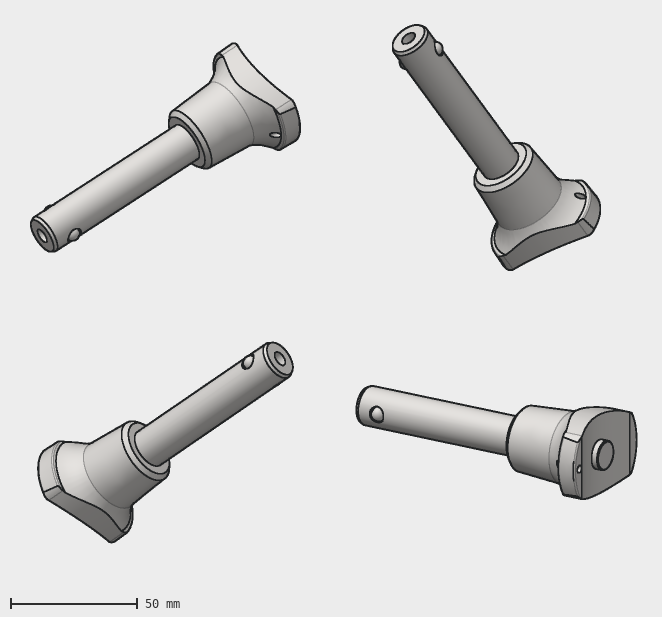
import math

import cadquery as cq


shank_diameter = 16.0
shank_length = 73.2
tip_chamfer_length = 1.4
tip_chamfer_width = 0.7
tip_bore_diameter = 6.0
tip_bore_depth = 8.0

ball_diameter = 5.98
ball_reach = 9.45
ball_to_tip = 10.0
socket_diameter = 6.5

handle_length = 39.4
front_face_radius = 11.5
front_chamfer_length = 1.9
hub_front_radius = 13.4
hub_length = 22.0
hub_back_radius = 14.75
flare_arc_radius = 20.0
flare_end_radius = 20.9
flare_end = 31.05
flange_front = 31.4
flange_front_radius = 22.65
flange_back_radius = 22.97
rim_fillet = 0.6

half_height = 16.5
side_arc_radius = 46.8
side_arc_half_width = 17.0
corner_radius = 8.0

saddle_half_width = 17.5
saddle_depth = 3.25
cord_hole_diameter = 3.1
cord_hole_offset = 19.3
button_diameter = 12.0
button_chamfer = 0.4


def cylinder_along_y(diameter, y_start, y_end, x=0.0):
    """Round bar parallel to the pin axis, from y_start up to y_end."""
    base = cq.Workplane("XZ", origin=(x, y_start, 0))
    return base.circle(diameter / 2).extrude(y_start - y_end)


def make_turned_handle():
    """Chamfered hub, concave flare and slightly tapered flange, revolved about Y."""
    profile = (
        cq.Workplane("XY")
        .moveTo(0, 0)
        .lineTo(front_face_radius, 0)
        .lineTo(hub_front_radius, front_chamfer_length)
        .lineTo(hub_back_radius, hub_length)
        .radiusArc((flare_end_radius, flare_end), flare_arc_radius)
        .lineTo(flange_front_radius, flange_front)
        .lineTo(flange_back_radius, handle_length)
        .lineTo(0, handle_length)
        .close()
    )
    turned = profile.revolve(360, (0, 0, 0), (0, 1, 0))
    rim_edges = cq.selectors.RadiusNthSelector(-1) + cq.selectors.RadiusNthSelector(-2)
    return turned.edges("%CIRCLE").edges(rim_edges).fillet(rim_fillet)


def make_outline_prism():
    """Oblong prism: shallow side arcs, corner arcs and end arcs, all tangent."""
    side_center_z = half_height - side_arc_radius
    side_angle = math.asin(side_arc_half_width / side_arc_radius)
    corner_x = (side_arc_radius - corner_radius) * math.sin(side_angle)
    corner_z = side_center_z + (side_arc_radius - corner_radius) * math.cos(side_angle)
    side_end_z = side_center_z + side_arc_radius * math.cos(side_angle)
    center_distance = math.hypot(corner_x, corner_z)
    end_radius = center_distance + corner_radius
    end_x = corner_x * end_radius / center_distance
    end_z = corner_z * end_radius / center_distance

    outline = (
        cq.Workplane("XZ")
        .moveTo(-side_arc_half_width, side_end_z)
        .threePointArc((0, half_height), (side_arc_half_width, side_end_z))
        .radiusArc((end_x, end_z), corner_radius)
        .threePointArc((end_radius, 0), (end_x, -end_z))
        .radiusArc((side_arc_half_width, -side_end_z), corner_radius)
        .threePointArc((0, -half_height), (-side_arc_half_width, -side_end_z))
        .radiusArc((-end_x, -end_z), corner_radius)
        .threePointArc((-end_radius, 0), (-end_x, end_z))
        .radiusArc((-side_arc_half_width, side_end_z), corner_radius)
        .close()
    )
    return outline.extrude(-handle_length)


def make_saddle_cutter():
    """Cylinder along Z that hollows the back of the handle."""
    radius = (saddle_half_width**2 + saddle_depth**2) / (2 * saddle_depth)
    center_y = handle_length - saddle_depth + radius
    return cq.Workplane("XY").center(0, center_y).circle(radius).extrude(half_height, both=True)


def make_handle():
    handle = make_turned_handle().intersect(make_outline_prism())
    handle = handle.cut(make_saddle_cutter())
    return handle.cut(cylinder_along_y(cord_hole_diameter, 0, handle_length, cord_hole_offset))


def make_button():
    button = cylinder_along_y(button_diameter, handle_length / 2, handle_length)
    return button.faces(">Y").chamfer(button_chamfer)


def make_shank():
    """Shank with a chamfered, bored tip and two balls seated in round sockets."""
    radius = shank_diameter / 2
    profile = (
        cq.Workplane("XY")
        .lineTo(radius, 0)
        .lineTo(radius, tip_chamfer_length - shank_length)
        .lineTo(radius - tip_chamfer_width, -shank_length)
        .lineTo(0, -shank_length)
        .close()
    )
    shank = profile.revolve(360, (0, 0, 0), (0, 1, 0))
    tip_bore = cylinder_along_y(tip_bore_diameter, -shank_length, tip_bore_depth - shank_length)
    shank = shank.cut(tip_bore)

    ball_x = ball_reach - ball_diameter / 2
    ball_y = ball_to_tip - shank_length
    for side in (-1, 1):
        socket_plane = cq.Workplane("YZ", origin=(side * ball_x, ball_y, 0))
        shank = shank.cut(socket_plane.circle(socket_diameter / 2).extrude(side * radius))
        ball = cq.Workplane("XY").sphere(ball_diameter / 2)
        shank = shank.union(ball.translate((side * ball_x, ball_y, 0)))
    return shank


result = make_handle().union(make_button()).union(make_shank())